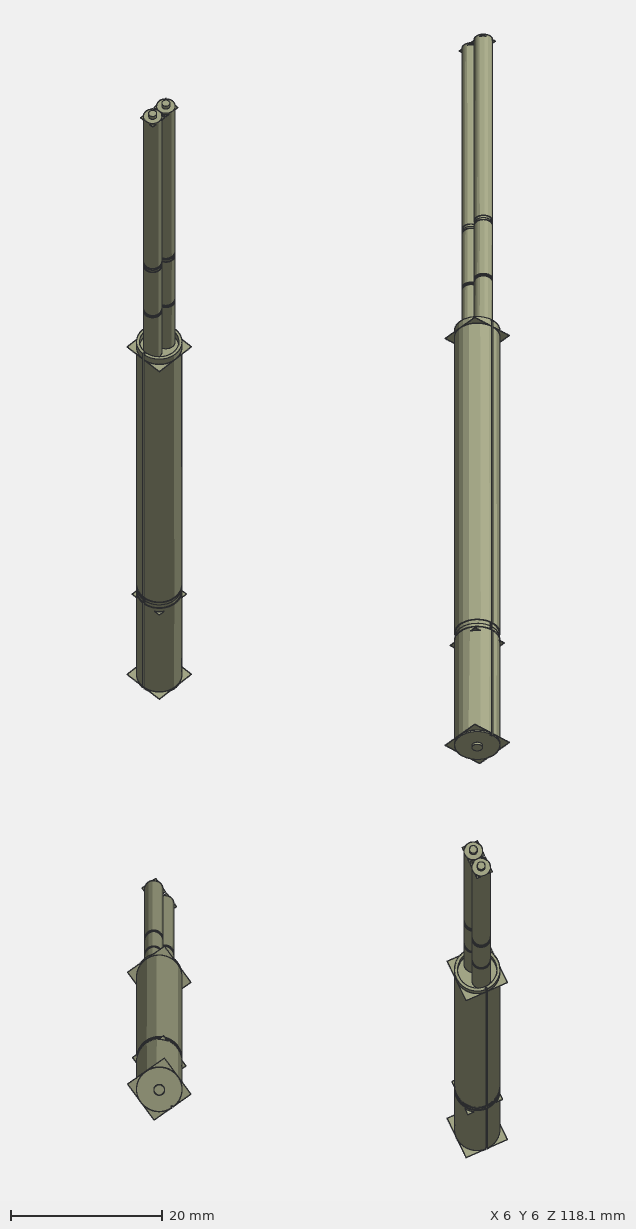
import cadquery as cq

barrel_diameter = 6.0
barrel_radius = barrel_diameter / 2
barrel_bottom = 0.4
barrel_joint = 18.5
barrel_top = 69.7
barrel_groove_height = 1.2
barrel_groove_depth = 0.1
slot_width = 0.2
slot_depth = 0.2
mouth_radius = 2.6
mouth_depth = 1.1
mouth_floor = barrel_top - mouth_depth
foot_radius = 0.7

plate_thickness = 0.06
outer_plate_side = barrel_diameter
inner_plate_side = 5.1
rod_plate_side = 2.2
foot_plate_base = 0.6
inner_plate_base = 17.2
mouth_plate_base = mouth_floor - plate_thickness
rod_plate_base = 117.2

rod_diameter = 2.5
rod_radius = rod_diameter / 2
rod_joints = (77.4, 86.9)
rod_groove_heights = (0.4, 0.7)
rod_groove_depth = 0.1
rod_top = 117.5
tip_radius = 0.53
tip_top = 118.1


def cylinder(radius, bottom, top, y=0):
    return cq.Workplane("XY", origin=(0, y, bottom)).circle(radius).extrude(top - bottom)


def square_plate(side, base, y=0):
    return cq.Workplane("XY", origin=(0, y, base)).rect(side, side).extrude(plate_thickness)


def grooved_cylinder(radius, bottom, top, depth, bottom_neck=0, top_neck=0, y=0):
    """Cylinder with a reduced neck at either end, each neck being half of a joint groove."""
    body = cylinder(radius, bottom + bottom_neck, top - top_neck, y)
    if bottom_neck:
        body = body.union(cylinder(radius - depth, bottom, bottom + bottom_neck, y))
    if top_neck:
        body = body.union(cylinder(radius - depth, top - top_neck, top, y))
    return body


def slot(bottom, top):
    """Narrow lengthwise groove on the -Y side of the barrel."""
    return (
        cq.Workplane("XY", origin=(0, -barrel_radius, bottom))
        .rect(slot_width, 2 * slot_depth)
        .extrude(top - bottom)
    )


def make_lower_barrel():
    body = grooved_cylinder(
        barrel_radius, barrel_bottom, barrel_joint, barrel_groove_depth, top_neck=barrel_groove_height / 2
    )
    foot = cylinder(foot_radius, 0, barrel_bottom)
    foot_plate = square_plate(outer_plate_side, foot_plate_base)
    inner_plate = square_plate(inner_plate_side, inner_plate_base)
    body = body.union(foot).union(foot_plate).union(inner_plate)
    return body.cut(slot(barrel_bottom, barrel_joint))


def make_upper_barrel():
    body = grooved_cylinder(
        barrel_radius, barrel_joint, barrel_top, barrel_groove_depth, bottom_neck=barrel_groove_height / 2
    )
    body = body.union(square_plate(outer_plate_side, mouth_plate_base))
    body = body.cut(cylinder(mouth_radius, mouth_floor, barrel_top))
    return body.cut(slot(barrel_joint, barrel_top))


def make_rod_segment(bottom, top, bottom_neck, top_neck, y):
    return grooved_cylinder(rod_radius, bottom, top, rod_groove_depth, bottom_neck, top_neck, y)


def make_rod(y):
    """Three stacked segments; the top one carries a square plate and a round tip."""
    lower_neck, upper_neck = [height / 2 for height in rod_groove_heights]
    lower_joint, upper_joint = rod_joints
    lower = make_rod_segment(mouth_floor, lower_joint, 0, lower_neck, y)
    middle = make_rod_segment(lower_joint, upper_joint, lower_neck, upper_neck, y)
    upper = make_rod_segment(upper_joint, rod_top, upper_neck, 0, y)
    upper = upper.union(square_plate(rod_plate_side, rod_plate_base, y))
    upper = upper.union(cylinder(tip_radius, rod_top, tip_top, y))
    return [lower, middle, upper]


lower_barrel = make_lower_barrel()
upper_barrel = make_upper_barrel()

rod_segments = []
for rod_y in (-rod_radius, rod_radius):
    rod_segments.extend(make_rod(rod_y))

result = cq.Compound.makeCompound(
    [lower_barrel.val(), upper_barrel.val(), *[segment.val() for segment in rod_segments]]
)